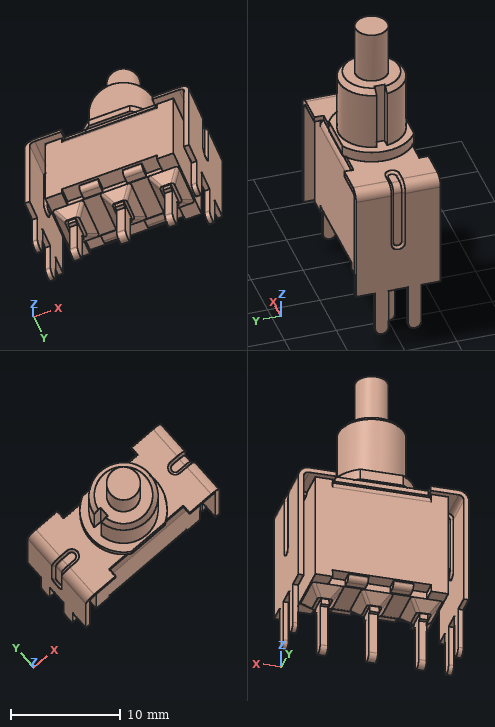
import cadquery as cq


bracket_length = 16.26
bracket_width = 8.13
sheet = 0.51
bend_radius = 1.0
bracket_leg_bottom = -11.65
waist_half_length = 4.5
waist_width = 6.34
bracket_pin_bottom = -16.36
bracket_pin_width = 1.27
bracket_pin_offset = 1.58

bead_depth = 0.25
bead_outer_half_width = 0.67
bead_inner_half_width = 0.4
bead_leg_center = -6.5
bead_top_center = 6.3
stud_diameter = 0.77
stud_tip = 6.67
stud_chamfer = 0.15

case_length = 12.66
case_width = 6.88
case_top = -sheet
case_bottom = -10.95
case_window_half_length = 4.7
case_edge_radius = 0.8

recess_top = -10.25
recess_depth = 1.4
tab_inner = 1.2
tab_outer = 3.1
tab_bottom = -10.85
tab_radius = 0.5
tab_setback = 0.25

terminal_pitch = 4.7
terminal_thicknesses = (0.76, 0.86, 0.76)
terminal_width = 1.27
terminal_bottom = -17.3
shoulder_width = 2.0
shoulder_bottom = -12.52
seal_bottom = -11.93
seal_top_length = 3.04
seal_bottom_length = 1.4
seal_top_width = case_width - 2 * recess_depth
seal_bottom_width = 2.2
seal_corner_radius = 0.4

collar_diameter = 8.0
collar_height = 1.05
bushing_diameter = 6.35
bushing_top = 7.35
bushing_chamfer = 0.5
keyway_width = 1.0
keyway_floor = 2.36
plunger_diameter = 3.1
plunger_top = 12.48


def block(x_range, y_range, z_range):
    """Axis-aligned box between the given limits."""
    sizes = [limits[1] - limits[0] for limits in (x_range, y_range, z_range)]
    return cq.Workplane("XY").box(*sizes, centered=False).translate((x_range[0], y_range[0], z_range[0]))


def centered_block(length, width, bottom, top):
    """Box centered on the Z axis."""
    return block((-length / 2, length / 2), (-width / 2, width / 2), (bottom, top))


def both_ends(shape):
    """The shape together with its mirror image across the YZ plane."""
    return shape.union(shape.mirror("YZ"))


def blade(x_center, y_center, thickness, width, top, bottom):
    """Flat pin with a fully rounded tip, lying parallel to the YZ plane."""
    radius = width / 2
    return (
        cq.Workplane("YZ", origin=(x_center - thickness / 2, y_center, 0))
        .moveTo(-radius, top)
        .lineTo(-radius, bottom + radius)
        .threePointArc((0, bottom), (radius, bottom + radius))
        .lineTo(radius, top)
        .close()
        .extrude(thickness)
    )


def bead(inset):
    """Tapered bead around the +X bend, starting at a depth below the outer sheet surface."""
    outer_radius = bend_radius - inset
    inner_radius = outer_radius - bead_depth
    bend_x = bracket_length / 2 - bend_radius
    section = [
        (outer_radius, -bead_outer_half_width),
        (outer_radius, bead_outer_half_width),
        (inner_radius, bead_inner_half_width),
        (inner_radius, -bead_inner_half_width),
    ]
    bend_plane = cq.Workplane("XY", origin=(bend_x, 0, -bend_radius))
    leg_run = bend_plane.polyline(section).close().extrude(bead_leg_center + bend_radius)
    bend_run = bend_plane.polyline(section).close().revolve(90, (0, 0, 0), (0, -1, 0))
    top_section = [(y, radius - bend_radius) for radius, y in section]
    top_run = (
        cq.Workplane("YZ", origin=(bead_top_center, 0, 0))
        .polyline(top_section)
        .close()
        .extrude(bend_x - bead_top_center)
    )
    leg_end = cq.Solid.makeCone(
        bead_outer_half_width, bead_inner_half_width, bead_depth,
        cq.Vector(bend_x + outer_radius, 0, bead_leg_center), cq.Vector(-1, 0, 0),
    )
    top_end = cq.Solid.makeCone(
        bead_outer_half_width, bead_inner_half_width, bead_depth,
        cq.Vector(bead_top_center, 0, -inset), cq.Vector(0, 0, -1),
    )
    return leg_run.union(bend_run).union(top_run).union(leg_end).union(top_end)


def make_bracket():
    outer = centered_block(bracket_length, bracket_width, bracket_leg_bottom, 0)
    outer = outer.edges("|Y and >Z").fillet(bend_radius)
    inner = centered_block(bracket_length - 2 * sheet, bracket_width, bracket_leg_bottom, -sheet)
    inner = inner.edges("|Y and >Z").fillet(bend_radius - sheet)
    bracket = outer.cut(inner)

    waist_gap = block(
        (-waist_half_length, waist_half_length), (waist_width / 2, bracket_width / 2), (-sheet, 0)
    )
    bracket = bracket.cut(waist_gap).cut(waist_gap.mirror("XZ"))

    pin_x = (bracket_length - sheet) / 2
    for y in (-bracket_pin_offset, bracket_pin_offset):
        pin = blade(pin_x, y, sheet, bracket_pin_width, bracket_leg_bottom, bracket_pin_bottom)
        bracket = bracket.union(both_ends(pin))

    stud_base = bracket_length / 2 - sheet
    stud = (
        cq.Workplane("YZ", origin=(stud_tip, 0, bead_leg_center))
        .circle(stud_diameter / 2)
        .extrude(stud_base - stud_tip)
        .faces("<X")
        .chamfer(stud_chamfer)
    )
    raised = bead(sheet).union(stud)
    return bracket.union(both_ends(raised)).cut(both_ends(bead(0)))


def edge_rounding(half_length):
    """Material to remove so the upper -Y case edge is rounded over the window length."""
    front = -case_width / 2
    corner = block(
        (-half_length, half_length),
        (front, front + case_edge_radius),
        (case_top - case_edge_radius, case_top),
    )
    roll = (
        cq.Workplane("YZ", origin=(-half_length, front + case_edge_radius, case_top - case_edge_radius))
        .circle(case_edge_radius)
        .extrude(2 * half_length)
    )
    return corner.cut(roll)


def make_case():
    case = centered_block(case_length, case_width, case_bottom, case_top)
    front = -case_width / 2
    recess_back = front + recess_depth
    recess = block(
        (-case_window_half_length, case_window_half_length),
        (front, recess_back),
        (case_bottom, recess_top),
    )
    tab = block((tab_inner, tab_outer), (front + tab_setback, recess_back), (tab_bottom, recess_top))
    tab = tab.edges("|X and <Y and <Z").fillet(tab_radius)

    rounding = edge_rounding(case_window_half_length)
    case = case.cut(rounding).cut(rounding.mirror("XZ"))
    case = case.cut(recess).cut(recess.mirror("XZ"))
    tabs = both_ends(tab)
    return case.union(tabs).union(tabs.mirror("XZ"))


def make_terminal(x, thickness):
    seal = (
        cq.Workplane("XY", origin=(x, 0, case_bottom))
        .rect(seal_top_length, seal_top_width)
        .workplane(offset=seal_bottom - case_bottom)
        .rect(seal_bottom_length, seal_bottom_width)
        .loft()
        .edges("not(|X or |Y)")
        .fillet(seal_corner_radius)
    )
    shoulder = centered_block(thickness, shoulder_width, shoulder_bottom, seal_bottom).translate((x, 0, 0))
    pin = blade(x, 0, thickness, terminal_width, shoulder_bottom, terminal_bottom)
    return seal.union(shoulder).union(pin)


def make_actuator():
    collar = cq.Workplane("XY").circle(collar_diameter / 2).extrude(collar_height)
    collar = collar.intersect(centered_block(collar_diameter, case_width, 0, collar_height))
    bushing = (
        cq.Workplane("XY")
        .circle(bushing_diameter / 2)
        .extrude(bushing_top)
        .faces(">Z")
        .chamfer(bushing_chamfer)
    )
    keyway = block(
        (-bushing_diameter / 2, -keyway_floor),
        (-keyway_width / 2, keyway_width / 2),
        (collar_height, bushing_top),
    )
    plunger = cq.Workplane("XY").circle(plunger_diameter / 2).extrude(plunger_top)
    return bushing.cut(keyway).union(collar).union(plunger)


result = make_case().union(make_bracket()).union(make_actuator())
for position, blade_thickness in zip((-1, 0, 1), terminal_thicknesses):
    result = result.union(make_terminal(position * terminal_pitch, blade_thickness))